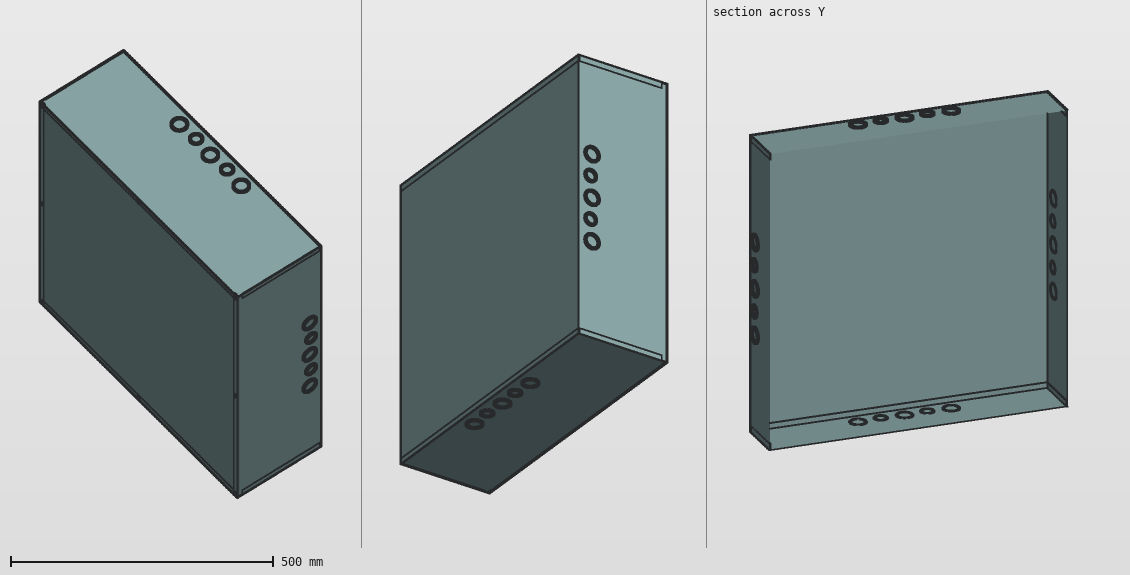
import cadquery as cq


size = 609.6
depth = 203.2
sheet = 1.524
bend_radius = 1.83

flange = 12.7
tab_front_gap = 11.4
tab_back_gap = 0.5
corner_notch = 2 * sheet

screw_inset = 7.4
cover_hole = 7.92
flange_hole = 4.29

ridge_height = 2 * sheet
ridge_width = 4.695
large_knockout = 34.92
small_knockout = 28.57
knockout_pitch = 47.625
knockout_edge = 12.7

half = size / 2
half_inner = half - sheet
flange_end = half - flange
front = -depth / 2
back = depth / 2
back_inner = back - sheet
screw_offset = half - screw_inset
screw_places = [
    (i * screw_offset, k * screw_offset)
    for i in (-1, 0, 1)
    for k in (-1, 0, 1)
    if (i, k) != (0, 0)
]
knockouts = [
    (step * knockout_pitch, large_knockout if step % 2 == 0 else small_knockout)
    for step in range(-2, 3)
]


def block(x0, x1, y0, y1, z0, z1):
    """Box between opposite corners."""
    return cq.Workplane("XY").box(x1 - x0, y1 - y0, z1 - z0, centered=False).translate((x0, y0, z0))


def drill_front(body, diameter):
    """Cut the screw holes along Y through the front sheet of a body."""
    drill_length = 4 * sheet
    drills = (
        cq.Workplane("XZ", origin=(0, front + drill_length / 2, 0))
        .pushPoints(screw_places)
        .circle(diameter / 2)
        .extrude(drill_length)
    )
    return body.cut(drills)


def ring(centre, outer_radius, inner_radius, height):
    """Upright ring standing on its centre point."""
    return cq.Workplane("XY", origin=centre).circle(outer_radius).circle(inner_radius).extrude(height)


def add_knockouts(top_panel):
    """Press the row of knockouts into a panel whose outer face is at the top, z = half."""
    for place, diameter in knockouts:
        radius = diameter / 2
        inner_radius = radius - ridge_width
        centre_y = back - knockout_edge - radius
        ridge = ring((place, centre_y, half), radius, inner_radius, ridge_height)
        hollow = ring((place, centre_y, half_inner), radius - sheet, inner_radius + sheet, ridge_height)
        top_panel = top_panel.union(ridge).cut(hollow)
    return top_panel


def make_wrapper():
    """Back panel and two side panels, each side with a flange turned in at the front."""
    side = block(-half, half, front, back, half_inner, half)
    side_flange = block(-half, half, front, front + sheet, flange_end, half)
    side = side.union(side_flange).edges("|X and <Y and >Z").fillet(bend_radius)
    side = add_knockouts(side)
    body = block(-half, half, back_inner, back, -half, half)
    for angle in (-90, 90):
        body = body.union(side.rotate((0, 0, 0), (0, 1, 0), angle))
    return drill_front(body, flange_hole)


def make_end_cap():
    """Top panel between the wrapper sides, with front and back flanges and a tab along each side."""
    cap = block(-half_inner, half_inner, front, back_inner, half_inner, half)
    front_flange = block(-half_inner, half_inner, front, front + sheet, flange_end, half)
    cap = cap.union(front_flange).edges("|X and <Y and >Z").fillet(bend_radius)
    notch = block(flange_end, half_inner, front, front + corner_notch, flange_end, half)
    cap = cap.cut(notch).cut(notch.mirror("YZ"))

    back_flange_front = back_inner - sheet
    back_flange = block(-half_inner, half_inner, back_flange_front, back_inner, flange_end, half)
    tab = block(
        half_inner - sheet,
        half_inner,
        front + tab_front_gap,
        back_flange_front - tab_back_gap,
        flange_end,
        half,
    )
    cap = cap.union(back_flange).union(tab).union(tab.mirror("YZ"))
    return drill_front(add_knockouts(cap), flange_hole)


def make_cover():
    """Flat front cover."""
    return drill_front(block(-half, half, front - sheet, front, -half, half), cover_hole)


wrapper = make_wrapper()
end_cap = make_end_cap()
end_caps = [end_cap.rotate((0, 0, 0), (0, 1, 0), angle) for angle in (0, 180)]
cover = make_cover()

bodies = [wrapper, *end_caps, cover]
result = cq.Compound.makeCompound([body.solids().val() for body in bodies])